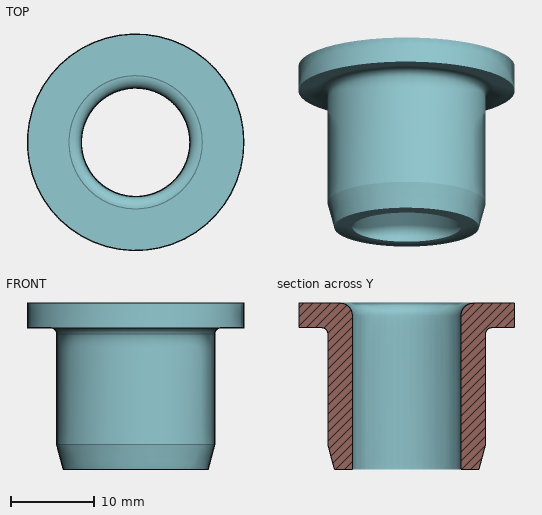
import cadquery as cq
import math

flange_diameter = 26.0
flange_thickness = 3.0
body_diameter = 19.0
bore_diameter = 13.0
total_height = 20.0

lead_in_length = 3.0
lead_in_angle = 15.0
bore_mouth_radius = 1.5
neck_fillet_radius = 0.7

flange_radius = flange_diameter / 2
body_radius = body_diameter / 2
bore_radius = bore_diameter / 2
tip_radius = body_radius - lead_in_length * math.tan(math.radians(lead_in_angle))

base_z = 0.0
top_z = base_z + total_height
flange_bottom_z = top_z - flange_thickness
lead_in_top_z = base_z + lead_in_length


def make_bushing_blank():
    """Revolve the half section: tapered tip, cylindrical body, flange and bore."""
    half_section = [
        (bore_radius, base_z),
        (tip_radius, base_z),
        (body_radius, lead_in_top_z),
        (body_radius, flange_bottom_z),
        (flange_radius, flange_bottom_z),
        (flange_radius, top_z),
        (bore_radius, top_z),
    ]
    return cq.Workplane("XZ").polyline(half_section).close().revolve(360, (0, 0, 0), (0, 1, 0))


def circle_at(radius, z):
    """Select the circular edge of the given radius at height z."""
    tolerance = 0.01
    reach = radius + tolerance
    return cq.selectors.BoxSelector(
        (-reach, -reach, z - tolerance), (reach, reach, z + tolerance), boundingbox=True
    )


def round_bore_mouth(bushing):
    """Round the top edge of the bore."""
    return bushing.edges(circle_at(bore_radius, top_z)).fillet(bore_mouth_radius)


def fillet_neck(bushing):
    """Fillet the inside corner between the body and the underside of the flange."""
    return bushing.edges(circle_at(body_radius, flange_bottom_z)).fillet(neck_fillet_radius)


result = fillet_neck(round_bore_mouth(make_bushing_blank()))